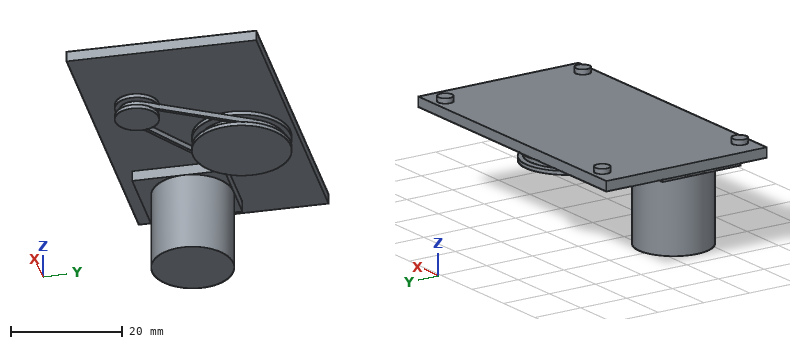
import cadquery as cq
import math

PLATE_LENGTH = 60.0
PLATE_WIDTH = 35.0
PLATE_THICKNESS = 2.0

PEG_DIAMETER = 3.0
PEG_HEIGHT = 1.0
PEG_SPACING_X = 50.0
PEG_SPACING_Y = 30.0

MOTOR_DIAMETER = 15.0
MOTOR_LENGTH = 15.0
MOTOR_X = -18.5
MOTOR_Y = -5.0
BLOCK_WIDTH = MOTOR_DIAMETER
BLOCK_LENGTH = 17.0
BLOCK_THICKNESS = 2.0
BLOCK_BACK_Y = MOTOR_Y + MOTOR_DIAMETER / 2

PULLEY_HEIGHT = 3.0
GROOVE_HEIGHT = 1.5
GROOVE_DEPTH = 1.5
LARGE_RADIUS = 9.0
LARGE_CENTER = (-3.0, 7.5)
SMALL_RADIUS = 4.0
SMALL_CENTER = (12.0, -8.5)
LARGE_CORE_RADIUS = LARGE_RADIUS - GROOVE_DEPTH
SMALL_CORE_RADIUS = SMALL_RADIUS - GROOVE_DEPTH
BELT_HEIGHT = 1.0
BELT_THICKNESS = 0.6


def disc(center, radius, bottom, height):
    """Upright cylinder standing on the level `bottom`."""
    return cq.Workplane("XY", origin=(*center, bottom)).circle(radius).extrude(height)


def make_plate():
    return cq.Workplane("XY").box(PLATE_LENGTH, PLATE_WIDTH, PLATE_THICKNESS, centered=(True, True, False))


def make_pegs():
    return (
        cq.Workplane("XY", origin=(0, 0, PLATE_THICKNESS))
        .rarray(PEG_SPACING_X, PEG_SPACING_Y, 2, 2)
        .circle(PEG_DIAMETER / 2)
        .extrude(PEG_HEIGHT)
    )


def make_motor():
    block_center_y = BLOCK_BACK_Y - BLOCK_LENGTH / 2
    block = (
        cq.Workplane("XY", origin=(MOTOR_X, block_center_y, 0))
        .rect(BLOCK_WIDTH, BLOCK_LENGTH)
        .extrude(-BLOCK_THICKNESS)
    )
    body = disc((MOTOR_X, MOTOR_Y), MOTOR_DIAMETER / 2, -BLOCK_THICKNESS, -MOTOR_LENGTH)
    return block.union(body)


def make_pulley(center, flange_radius, core_radius):
    """Two flanges with a narrower core between them."""
    flange_height = (PULLEY_HEIGHT - GROOVE_HEIGHT) / 2
    core = disc(center, core_radius, -PULLEY_HEIGHT, PULLEY_HEIGHT)
    upper_flange = disc(center, flange_radius, -flange_height, flange_height)
    lower_flange = disc(center, flange_radius, -PULLEY_HEIGHT, flange_height)
    return core.union(upper_flange).union(lower_flange)


def make_tangent_band(margin):
    """Solid slab, one belt height thick, wrapping both pulley cores at a distance `margin`."""
    large_radius = LARGE_CORE_RADIUS + margin
    small_radius = SMALL_CORE_RADIUS + margin
    offset_x = SMALL_CENTER[0] - LARGE_CENTER[0]
    offset_y = SMALL_CENTER[1] - LARGE_CENTER[1]
    axis_angle = math.atan2(offset_y, offset_x)
    tangent_angle = math.acos((large_radius - small_radius) / math.hypot(offset_x, offset_y))
    left_side = axis_angle + tangent_angle
    right_side = axis_angle - tangent_angle

    def large_rim(angle):
        return (
            LARGE_CENTER[0] + large_radius * math.cos(angle),
            LARGE_CENTER[1] + large_radius * math.sin(angle),
        )

    def small_rim(angle):
        return (
            SMALL_CENTER[0] + small_radius * math.cos(angle),
            SMALL_CENTER[1] + small_radius * math.sin(angle),
        )

    band_bottom = -(PULLEY_HEIGHT + BELT_HEIGHT) / 2
    return (
        cq.Workplane("XY", origin=(0, 0, band_bottom))
        .moveTo(*large_rim(left_side))
        .lineTo(*small_rim(left_side))
        .threePointArc(small_rim(axis_angle), small_rim(right_side))
        .lineTo(*large_rim(right_side))
        .threePointArc(large_rim(axis_angle + math.pi), large_rim(left_side))
        .close()
        .extrude(BELT_HEIGHT)
    )


def make_belt_drive():
    """Both pulleys with the belt loop stretched around their cores."""
    belt = make_tangent_band(BELT_THICKNESS).cut(make_tangent_band(0))
    large_pulley = make_pulley(LARGE_CENTER, LARGE_RADIUS, LARGE_CORE_RADIUS)
    small_pulley = make_pulley(SMALL_CENTER, SMALL_RADIUS, SMALL_CORE_RADIUS)
    return belt.union(large_pulley).union(small_pulley)


result = make_plate().union(make_pegs()).union(make_motor()).union(make_belt_drive())